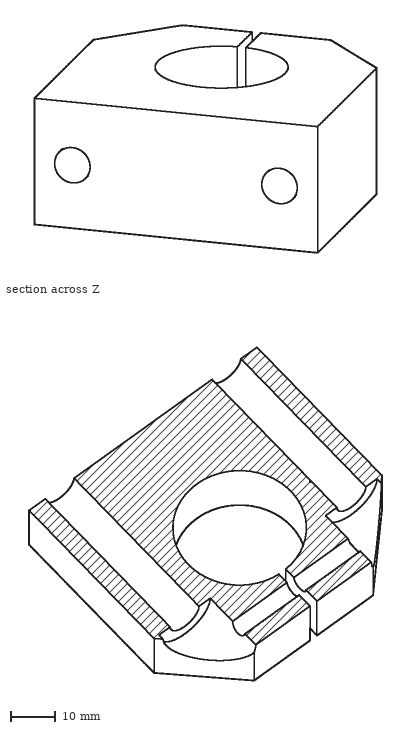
import cadquery as cq

width = 67.0
depth = 60.0
height = 30.0
corner_cut = 16.0

bore_diameter = 30.0
bore_y = 34.0
slit_width = 2.0

mount_spacing = 49.0
mount_diameter = 8.4
counterbore_diameter = 15.0
counterbore_floor_y = depth - corner_cut

screw_diameter = 4.2
screw_y = 54.0

mid_height = height / 2


def make_block():
    block = cq.Workplane("XY").box(width, depth, height, centered=(True, False, False))
    return block.edges("|Z and >Y").chamfer(corner_cut)


def make_bore_and_slit():
    bore = cq.Workplane("XY").center(0, bore_y).circle(bore_diameter / 2).extrude(height)
    slit = cq.Workplane("XY").box(
        slit_width, depth - bore_y, height, centered=(True, False, False)
    )
    return bore.union(slit.translate((0, bore_y, 0)))


def make_cylinder_along_y(x, start_y, diameter):
    """Cylinder at mid height, running from start_y to the +Y face."""
    direction = cq.Vector(0, 1, 0)
    start = cq.Vector(x, start_y, mid_height)
    return cq.Solid.makeCylinder(diameter / 2, depth - start_y, start, direction)


def make_screw_hole():
    start = cq.Vector(-width / 2, screw_y, mid_height)
    return cq.Solid.makeCylinder(screw_diameter / 2, width, start, cq.Vector(1, 0, 0))


result = make_block().cut(make_bore_and_slit())
for mount_x in (-mount_spacing / 2, mount_spacing / 2):
    result = result.cut(make_cylinder_along_y(mount_x, 0, mount_diameter))
    result = result.cut(make_cylinder_along_y(mount_x, counterbore_floor_y, counterbore_diameter))
result = result.cut(make_screw_hole())